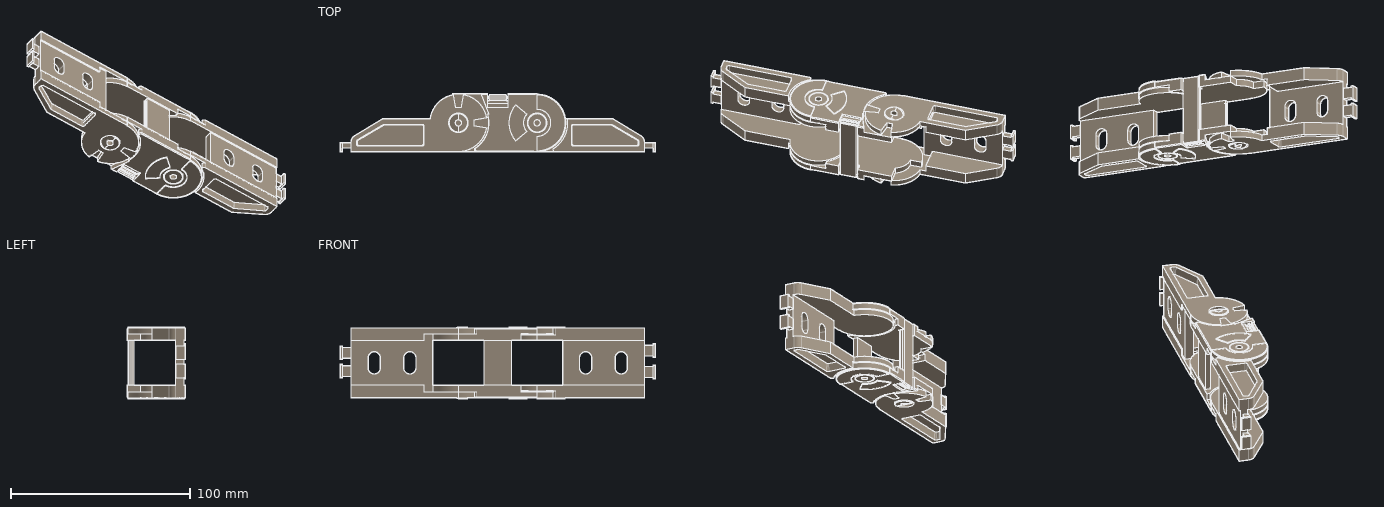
import cadquery as cq
import math


HEIGHT = 32.5
MID_Y = HEIGHT / 2
JOINT_X = 22.0
INNER_Z = 12.5
SPLIT_Z = 16.1
OUTER_Z = 19.5
PAD_HEIGHT = 0.5
PAD_Z = OUTER_Z + PAD_HEIGHT
DISC_RADIUS = 16.0
CLEARANCE_RADIUS = 17.0
CLEARANCE_FOOT = 9.0
FOOT_ROUNDING = 1.2
BIG = 105.3

PIN_RADIUS = 5.1
PIN_HOLE_RADIUS = 5.5
PIN_BORE_RADIUS = 1.8
PIN_BORE_DEPTH = 4.4
PIN_RAMP_DROP = 2.1

END_X = 81.8
ARM_HEIGHT = 18.6
SLOPE_TOP_X = 64.0
SLOPE_FOOT_Y = 7.9
SLOPE_FOOT_RADIUS = 4.4
PLATE_RECESS = 0.7
LEFT_PLATE_TOP = 5.6
RIGHT_PLATE_TOP = 5.0
PLATE_END_X = 36.2
TONGUE_ROOT_X = 41.0
RIGHT_DISC_Z = 15.6

POCKET_DEPTH = 4.5
POCKET_TAPER = 5
POCKET_BOTTOM = 3.3
POCKET_TOP = 15.5
POCKET_INNER_X = 41.0
POCKET_SLOPE_X = 63.4
POCKET_OUTER_X = 78.6
POCKET_FOOT_Y = 6.5
POCKET_CORNER = 1.0

SLOT_XS = (49.0, 68.8)
SLOT_LENGTH = 12.3
SLOT_WIDTH = 6.7

LEFT_HOOK_ZS = (5.6, -4.5)
RIGHT_HOOK_ZS = (6.8, -5.1)
HOOK_END_X = 87.8
HOOK_FLANGE_THICKNESS = 1.2
HOOK_FLANGE_WIDTH = 7.7
HOOK_STEM_WIDTH = 6.1
HOOK_TOP = 5.3
HOOK_STEM_BOTTOM = 2.1

STOP_INNER = 8.6
STOP_OUTER = 16.7
STOP_INNER_HALF = 1.5
STOP_OUTER_HALF = 3.0

STOP_HUB_RADIUS = 9.5
STOP_FACE_OFFSET = 3.3
RELIEF_TOP_OFFSET = 12.6
RELIEF_FOOT_Y = 21.0
EDGE_CHAMFER = 0.5
BAR_HALF_WIDTH = 7.7
BAR_TOP = 3.5
BAR_GROOVE_YS = (1.5, 2.8)
BAR_GROOVE_DEPTH = 1.0
BAR_GROOVE_END = 1.5

PAD_INNER_RADIUS = 7.5
PAD_OUTER_RADIUS = 15.6
SECTOR_HALF_ANGLE = 40

SEAT_HALF_WIDTH = 5.6
SEAT_BOTTOM = 25.0
SEAT_STEP_Y = 27.0
SEAT_SHALLOW = 1.0
SEAT_DEEP = 2.1
CROSSBAR_BOTTOM = 28.6
CROSSBAR_TOP = 32.0
CROSSBAR_HALF_WIDTH = 5.1
CROSSBAR_END_GAP = 0.5
CROSSBAR_BEVEL = 0.5
CROSSBAR_SIDE_YS = (29.7, 30.9)
END_GROOVE_YS = (29.5, 30.7)
END_GROOVE_DEPTH = 1.4


def box(x0, x1, y0, y1, z0, z1):
    return cq.Workplane("XY", origin=(0, 0, z0)).moveTo(x0, y0).rect(
        x1 - x0, y1 - y0, centered=False).extrude(z1 - z0)


def cylinder(x, radius, z0, z1):
    return cq.Workplane("XY", origin=(x, MID_Y, z0)).circle(radius).extrude(z1 - z0)


def prism(points, z0, z1):
    return cq.Workplane("XY", origin=(0, 0, z0)).polyline(points).close().extrude(z1 - z0)


def both_sides(shape):
    """The shape and its mirror image below Z = 0."""
    return shape.union(shape.mirror("XY"))


def arm_profile(inner_x, z0, z1):
    """Side arm from inner_x to the sloping outer end."""
    points = [
        (inner_x, 0),
        (END_X, 0),
        (END_X, SLOPE_FOOT_Y),
        (SLOPE_TOP_X, ARM_HEIGHT),
        (inner_x, ARM_HEIGHT),
    ]
    foot = cq.selectors.NearestToPointSelector((END_X, SLOPE_FOOT_Y, (z0 + z1) / 2))
    return prism(points, z0, z1).edges(foot).fillet(SLOPE_FOOT_RADIUS)


def arm_pocket():
    points = [
        (POCKET_INNER_X, POCKET_BOTTOM),
        (POCKET_OUTER_X, POCKET_BOTTOM),
        (POCKET_OUTER_X, POCKET_FOOT_Y),
        (POCKET_SLOPE_X, POCKET_TOP),
        (POCKET_INNER_X, POCKET_TOP),
    ]
    sketch = cq.Sketch().polygon(points + points[:1]).vertices().fillet(POCKET_CORNER)
    return (
        cq.Workplane("XY", origin=(0, 0, OUTER_Z))
        .placeSketch(sketch)
        .extrude(-POCKET_DEPTH, taper=POCKET_TAPER)
    )


def base_plate(top):
    plate = box(PLATE_END_X, END_X, PLATE_RECESS, top, -INNER_Z, INNER_Z)
    slots = (
        cq.Workplane("XZ")
        .pushPoints([(x, 0) for x in SLOT_XS])
        .slot2D(SLOT_LENGTH, SLOT_WIDTH, 90)
        .extrude(-HEIGHT)
    )
    return plate.cut(slots)


def hook(z):
    """L-shaped end hook: a short stem carrying a flange."""
    flange_x = HOOK_END_X - HOOK_FLANGE_THICKNESS
    half_stem = HOOK_STEM_WIDTH / 2
    half_flange = HOOK_FLANGE_WIDTH / 2
    stem = box(END_X, flange_x, HOOK_STEM_BOTTOM, HOOK_TOP, z - half_stem, z + half_stem)
    flange = box(flange_x, HOOK_END_X, 0, HOOK_TOP, z - half_flange, z + half_flange)
    return stem.union(flange)


def pin_bore(x, top_z):
    return cylinder(x, PIN_BORE_RADIUS, top_z - PIN_BORE_DEPTH, top_z)


def finish_bracket(sides, plate_top, hook_zs):
    """Adds the base plate and hooks shared by both brackets."""
    bracket = both_sides(sides).union(base_plate(plate_top))
    for z in hook_zs:
        bracket = bracket.union(hook(z))
    return bracket


def stop_slot(angle, z0, z1):
    """Trapezoid around the left hinge, pointing along the given angle from +X."""
    points = [
        (STOP_INNER, -STOP_INNER_HALF),
        (STOP_OUTER, -STOP_OUTER_HALF),
        (STOP_OUTER, STOP_OUTER_HALF),
        (STOP_INNER, STOP_INNER_HALF),
    ]
    slot = prism(points, z0, z1).rotate((0, 0, 0), (0, 0, 1), angle)
    return slot.translate((-JOINT_X, MID_Y, 0))


def round_foot(wall, foot_x):
    """Rounds the lower edge where an outer wall ends beside a disc."""
    edge = cq.selectors.NearestToPointSelector((foot_x, 0, (SPLIT_Z + OUTER_Z) / 2))
    return wall.edges(edge).fillet(FOOT_ROUNDING)


def left_bracket():
    """Built at the +X end, then mirrored to the -X end."""
    outer = arm_profile(JOINT_X, SPLIT_Z, OUTER_Z).union(cylinder(JOINT_X, DISC_RADIUS, SPLIT_Z, OUTER_Z))
    outer = outer.cut(cylinder(JOINT_X, PIN_HOLE_RADIUS, SPLIT_Z, OUTER_Z))
    inner = arm_profile(TONGUE_ROOT_X, INNER_Z, SPLIT_Z)
    plate_edge = box(PLATE_END_X, TONGUE_ROOT_X, PLATE_RECESS, LEFT_PLATE_TOP, INNER_Z, SPLIT_Z)
    sides = outer.union(inner).union(plate_edge).cut(arm_pocket())
    bracket = finish_bracket(sides, LEFT_PLATE_TOP, LEFT_HOOK_ZS).mirror("YZ")
    for angle in (0, 90):
        bracket = bracket.cut(both_sides(stop_slot(angle, SPLIT_Z, OUTER_Z)))
    return bracket


def right_bracket():
    foot_x = JOINT_X + CLEARANCE_FOOT
    outer = round_foot(arm_profile(foot_x, RIGHT_DISC_Z, OUTER_Z), foot_x)
    outer = outer.cut(cylinder(JOINT_X, CLEARANCE_RADIUS, RIGHT_DISC_Z, OUTER_Z))
    inner = arm_profile(JOINT_X, INNER_Z, RIGHT_DISC_Z)
    inner = inner.union(cylinder(JOINT_X, DISC_RADIUS, INNER_Z, RIGHT_DISC_Z))
    pin = cylinder(JOINT_X, PIN_RADIUS, RIGHT_DISC_Z, OUTER_Z)
    sides = outer.union(inner).union(pin).cut(arm_pocket()).cut(pin_bore(JOINT_X, OUTER_Z))
    return finish_bracket(sides, RIGHT_PLATE_TOP, RIGHT_HOOK_ZS)


def middle_outer_wall():
    """Outer half: a disc around the right hinge and a hollow facing the left disc."""
    left_x = CLEARANCE_FOOT - JOINT_X
    wall = box(left_x, JOINT_X, 0, HEIGHT, SPLIT_Z, OUTER_Z)
    wall = round_foot(wall, left_x)
    wall = wall.edges("|X and >Z").chamfer(EDGE_CHAMFER)
    wall = wall.union(cylinder(JOINT_X, DISC_RADIUS, SPLIT_Z, OUTER_Z))
    wall = wall.cut(cylinder(-JOINT_X, CLEARANCE_RADIUS, SPLIT_Z, OUTER_Z))
    relief = [
        (left_x, HEIGHT),
        (RELIEF_TOP_OFFSET - JOINT_X, HEIGHT),
        (CLEARANCE_RADIUS - JOINT_X, RELIEF_FOOT_Y),
        (left_x, RELIEF_FOOT_Y),
    ]
    wall = wall.cut(prism(relief, SPLIT_Z, OUTER_Z))
    tooth = stop_slot(0, SPLIT_Z, OUTER_Z)
    return wall.union(tooth).cut(cylinder(JOINT_X, PIN_HOLE_RADIUS, SPLIT_Z, OUTER_Z))


def middle_inner_wall():
    """Inner half: a stepped disc around the left hinge and a hollow facing the right disc."""
    right_x = JOINT_X - CLEARANCE_FOOT
    wall = box(-JOINT_X, right_x, 0, HEIGHT, INNER_Z, SPLIT_Z)
    wall = wall.union(box(-JOINT_X - STOP_FACE_OFFSET, -JOINT_X, MID_Y, HEIGHT, INNER_Z, SPLIT_Z))
    wall = wall.union(cylinder(-JOINT_X, STOP_HUB_RADIUS, INNER_Z, SPLIT_Z))
    lower_half = box(-BIG, 0, 0, MID_Y, INNER_Z, SPLIT_Z)
    wall = wall.union(cylinder(-JOINT_X, DISC_RADIUS, INNER_Z, SPLIT_Z).intersect(lower_half))
    return wall.cut(cylinder(JOINT_X, CLEARANCE_RADIUS, INNER_Z, SPLIT_Z))


def ramped_pin():
    """Pin for the left hinge; its left half slopes down toward -X."""
    pin = cylinder(-JOINT_X, PIN_RADIUS, SPLIT_Z, PAD_Z).cut(pin_bore(-JOINT_X, PAD_Z))
    left_x = -JOINT_X - PIN_RADIUS
    ramp = (
        cq.Workplane("XZ")
        .polyline([(-JOINT_X, PAD_Z), (left_x, PAD_Z), (left_x, PAD_Z - PIN_RAMP_DROP)])
        .close()
        .extrude(-HEIGHT)
    )
    return pin.cut(ramp)


def right_hinge_pads():
    """Raised half ring on the right of the hinge axis and raised sector on its left."""
    ring = cylinder(JOINT_X, PAD_OUTER_RADIUS, OUTER_Z, PAD_Z)
    ring = ring.cut(cylinder(JOINT_X, PAD_INNER_RADIUS, OUTER_Z, PAD_Z))
    half_ring = ring.intersect(box(JOINT_X, BIG, 0, HEIGHT, OUTER_Z, PAD_Z))
    spread = BIG * math.tan(math.radians(SECTOR_HALF_ANGLE))
    wedge = [(JOINT_X, MID_Y), (JOINT_X - BIG, MID_Y + spread), (JOINT_X - BIG, MID_Y - spread)]
    return half_ring.union(ring.intersect(prism(wedge, OUTER_Z, PAD_Z)))


def crossbar_seat():
    """Opening for the crossbar end with a two-step trough beside it."""
    opening = box(-SEAT_HALF_WIDTH, SEAT_HALF_WIDTH, CROSSBAR_BOTTOM, HEIGHT, INNER_Z, OUTER_Z)
    deep = box(-SEAT_HALF_WIDTH, SEAT_HALF_WIDTH, SEAT_STEP_Y, CROSSBAR_BOTTOM, OUTER_Z - SEAT_DEEP, OUTER_Z)
    shallow = box(-SEAT_HALF_WIDTH, SEAT_HALF_WIDTH, SEAT_BOTTOM, SEAT_STEP_Y, OUTER_Z - SEAT_SHALLOW, OUTER_Z)
    return opening.union(deep).union(shallow)


def fixed_bar():
    """Bar joining the two side walls, with a groove along its -X side."""
    bar = box(-BAR_HALF_WIDTH, BAR_HALF_WIDTH, PLATE_RECESS, BAR_TOP, -INNER_Z, INNER_Z)
    groove_z = INNER_Z - BAR_GROOVE_END
    groove = box(-BAR_HALF_WIDTH, BAR_GROOVE_DEPTH - BAR_HALF_WIDTH, *BAR_GROOVE_YS, -groove_z, groove_z)
    return bar.cut(groove)


def middle_link():
    side = middle_outer_wall().union(middle_inner_wall()).union(ramped_pin()).union(right_hinge_pads())
    return both_sides(side.cut(crossbar_seat())).union(fixed_bar())


def crossbar():
    """Bar with bevelled long sides and a groove across each end."""
    end_z = OUTER_Z - CROSSBAR_END_GAP
    half = CROSSBAR_HALF_WIDTH
    outline = [
        (half - CROSSBAR_BEVEL, CROSSBAR_BOTTOM),
        (half, CROSSBAR_SIDE_YS[0]),
        (half, CROSSBAR_SIDE_YS[1]),
        (half - CROSSBAR_BEVEL, CROSSBAR_TOP),
    ]
    outline += [(-x, y) for x, y in reversed(outline)]
    bar = prism(outline, -end_z, end_z)
    groove = box(-half, half, *END_GROOVE_YS, end_z - END_GROOVE_DEPTH, end_z)
    return bar.cut(both_sides(groove))


result = cq.Compound.makeCompound([
    left_bracket().solids().val(),
    right_bracket().solids().val(),
    middle_link().solids().val(),
    crossbar().solids().val(),
])